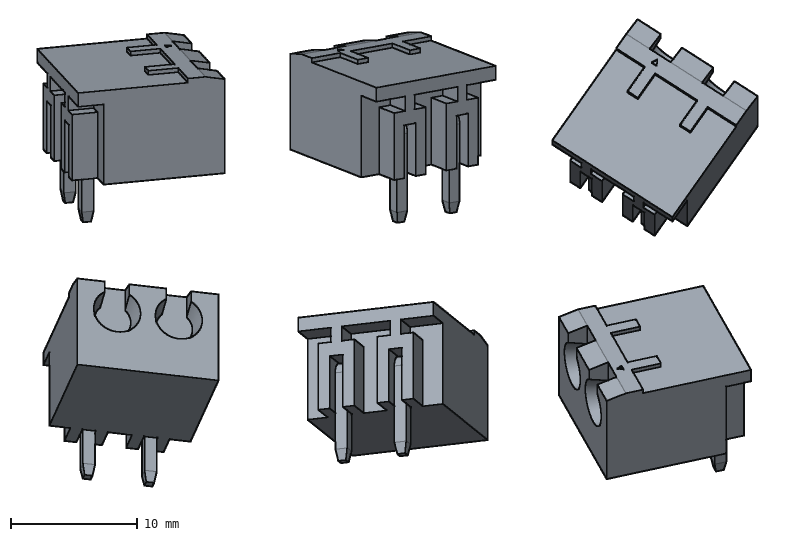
import cadquery as cq
import math


width = 11.45
depth = 12.1
deck_height = 7.85
pitch = 5.0
pole_xs = [-pitch / 2, pitch / 2]

ridge_height = 0.35
top_height = deck_height + ridge_height
ridge_front_y = 9.05
slope_start_y = 10.5
tab_width = 1.0
tab_front_y = 6.6

marker_width = 0.5
marker_length = 0.45
marker_depth = 0.15
marker_base_y = 9.65

recess_depth = 2.1
lid_underside = 6.7
support_width = 3.05
support_height = 5.5
web_width = 0.9

pin_size = 1.0
pin_clearance = 0.05
pin_top = 4.3
bend_radius = pin_size
pin_front_y = recess_depth - pin_size
slot_width = pin_size + 2 * pin_clearance
slot_height = pin_top + pin_clearance
pin_bottom = -4.0
tip_length = 0.95
tip_size = 0.65

notch_width = 2.0
mouth_radius = 1.9
mouth_taper = math.radians(15)
mouth_edge_z = 6.9
mouth_axis_z = mouth_edge_z - math.sqrt(mouth_radius**2 - (notch_width / 2) ** 2)
mouth_depth = depth - slope_start_y
mouth_inner_radius = mouth_radius - mouth_depth * math.tan(mouth_taper)


def block(x_center, x_size, y_min, y_max, z_min, z_max):
    """Box centred on x_center and spanning the given Y and Z limits."""
    return (
        cq.Workplane("XY")
        .box(x_size, y_max - y_min, z_max - z_min, centered=(True, False, False))
        .translate((x_center, y_min, z_min))
    )


def extrude_side_profile(profile, x_center, x_size):
    """Extrude a closed YZ profile symmetrically about x_center."""
    return profile.extrude(x_size / 2, both=True).translate((x_center, 0, 0))


def make_housing():
    outline = (
        cq.Workplane("YZ")
        .polyline([
            (0, 0),
            (depth, 0),
            (depth, deck_height),
            (slope_start_y, top_height),
            (ridge_front_y, top_height),
            (ridge_front_y, deck_height),
            (0, deck_height),
        ])
        .close()
    )
    housing = extrude_side_profile(outline, 0, width)
    return housing.cut(block(0, width, 0, recess_depth, 0, lid_underside))


def make_tab(x):
    return block(x, tab_width, tab_front_y, ridge_front_y, deck_height, top_height)


def make_support(x):
    support = block(x, support_width, 0, recess_depth, 0, support_height)
    web = block(x, web_width, 0, recess_depth, support_height, lid_underside)
    slot = block(x, slot_width, 0, recess_depth, 0, slot_height)
    return support.union(web).cut(slot)


def make_pin(x):
    bend_start_z = pin_top - bend_radius
    tip_start_z = pin_bottom + tip_length
    bend_mid = (
        recess_depth - bend_radius * math.cos(math.pi / 4),
        bend_start_z + bend_radius * math.sin(math.pi / 4),
    )
    outline = (
        cq.Workplane("YZ")
        .moveTo(pin_front_y, tip_start_z)
        .lineTo(pin_front_y, bend_start_z)
        .threePointArc(bend_mid, (recess_depth, pin_top))
        .lineTo(recess_depth, tip_start_z)
        .close()
    )
    shank = extrude_side_profile(outline, x, pin_size)
    tip = (
        cq.Workplane("XY", origin=(x, pin_front_y + pin_size / 2, pin_bottom))
        .rect(tip_size, tip_size)
        .workplane(offset=tip_length)
        .rect(pin_size, pin_size)
        .loft(ruled=True)
    )
    return shank.union(tip)


def make_entry(x):
    """Cutter for one conductor entry: tapered round mouth plus the notch above it."""
    mouth = cq.Workplane(cq.Solid.makeCone(
        mouth_radius,
        mouth_inner_radius,
        mouth_depth,
        pnt=cq.Vector(x, depth, mouth_axis_z),
        dir=cq.Vector(0, -1, 0),
    ))
    notch = block(x, notch_width, slope_start_y, depth, mouth_axis_z, top_height)
    return mouth.union(notch)


def make_marker(x):
    return (
        cq.Workplane("XY", origin=(x, marker_base_y, top_height - marker_depth))
        .polyline([(-marker_width / 2, 0), (marker_width / 2, 0), (0, marker_length)])
        .close()
        .extrude(marker_depth)
    )


result = make_housing()
for pole_x in pole_xs:
    result = result.union(make_tab(pole_x))
    result = result.union(make_support(pole_x))
    result = result.union(make_pin(pole_x))
    result = result.cut(make_entry(pole_x))
result = result.cut(make_marker(pole_xs[0]))